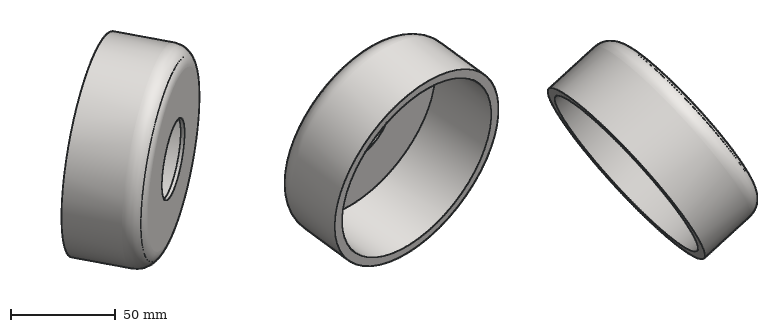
import cadquery as cq

outer_diameter = 110.0
length = 40.0
wall = 5.0
floor_thickness = 2.0
hole_diameter = 40.0
edge_radius = 10.0

bore_diameter = outer_diameter - 2 * wall
bore_depth = length - floor_thickness


def cylinder(diameter, height):
    """Solid cylinder along +X, starting at X = 0."""
    return cq.Workplane("YZ").circle(diameter / 2).extrude(height)


body = cylinder(outer_diameter, length).faces(">X").edges().fillet(edge_radius)

result = body.cut(cylinder(bore_diameter, bore_depth)).cut(cylinder(hole_diameter, length))